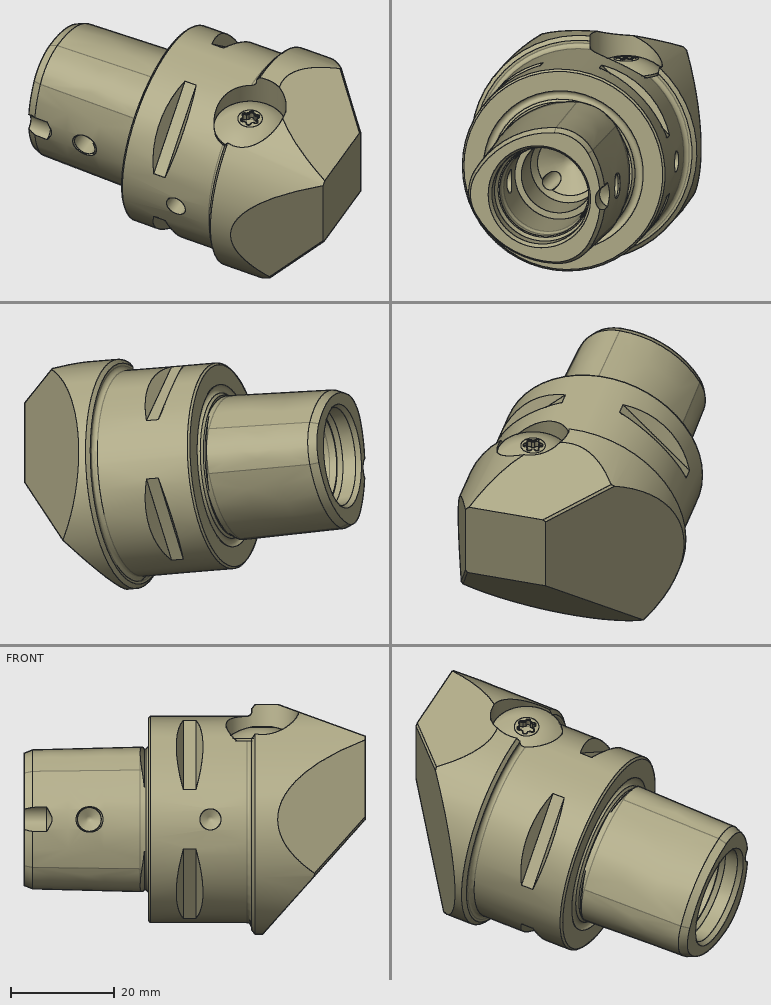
import cadquery as cq
import math

LENGTH = 66.0

LOBE_COUNT = 3
SHANK_RADIUS = 14.0
LOBE_HEIGHT = 0.8
TAPER = 1 / 40
SHANK_END = 22.45
NOSE_LENGTH = 1.65
NOSE_DROP = 0.65

NECK_RADIUS = 13.65
NECK_START = 23.2
NECK_CONE_START = 23.55
NECK_FOOT_RADIUS = 14.1
RELIEF_RADIUS = 15.8
RELIEF_DEPTH = 0.65

FLANGE_FACE = 24.0
FLANGE_RADIUS = 20.0
FLANGE_CHAMFER = 0.4
COVE_START = 43.1
COVE_RADIUS = 0.9
HEAD_STEP_RADIUS = 21.45
HEAD_START = 44.7
HEAD_RADIUS = 22.275

FLAT_ANGLE = 20.0
FLAT_HEIGHT = 16.1
STEEP_ANGLE = 48.2
EDGE_CHAMFER_DEPTH = 0.23
CUTTER_SIZE = 132.0

SLOT_COUNT = 4
SLOT_FIRST_ANGLE = 45.0
SLOT_X = 32.0
SLOT_FLOOR = 17.6
SLOT_FLOOR_WIDTH = 2.45
SLOT_WALL_ANGLE = 30.0

BORE_MOUTH = (0.0, 10.1)
BORE_COUNTERBORE = (1.0, 9.6)
BORE_CONE_START = (3.6, 9.6)
BORE_CONE_END = (4.6, 9.05)
BORE_STEP = (4.6, 8.8)
BORE_THROAT_START = (6.1, 8.8)
BORE_THROAT = (7.2, 8.45)
BORE_SHOULDER = (18.5, 8.45)
BORE_PILOT = (18.5, 7.2)
BORE_PILOT_END = (27.7, 7.2)
BORE_TIP = (29.7, 6.2)
TIP_HALF_ANGLE = 59.0

COOLANT_RADIUS = 1.5
COOLANT_OFFSET = 5.2
COOLANT_LEAD = 5.3
COOLANT_DEPTH = 7.9
COOLANT_DIRECTIONS = (135.0, -45.0)
COOLANT_ANGLE = 80.0

SHANK_HOLE_X = 12.6
SHANK_HOLE_RADIUS = 2.3
SHANK_HOLE_MOUTH = 2.65
SHANK_HOLE_DEPTH = 24.4
FLANGE_HOLE_X = 36.05
FLANGE_HOLE_RADIUS = 2.05
FLANGE_HOLE_DEPTH = 6.6
NOTCH_RADIUS = 2.6
NOTCH_Y = -13.6
NOTCH_DEPTH = 4.35

SCREW_X = 46.1
SCREW_Y = -8.05
SCREW_RADIUS = 7.0
SCREW_SEAT = 15.2
SCREW_RIM = 15.65
SCREW_TOP = 18.1
SOCKET_LOBES = 6
SOCKET_FIRST_ANGLE = 45.0
SOCKET_PITCH_RADIUS = 1.45
SOCKET_LOBE_RADIUS = 0.45
SOCKET_FLOOR = 16.2
SOCKET_TIP = 15.7
SOCKET_MOUTH_RADIUS = 2.4
SOCKET_MOUTH_DEPTH = 0.3


def polar(radius, degrees):
    """Components of a length at an angle."""
    angle = math.radians(degrees)
    return radius * math.cos(angle), radius * math.sin(angle)


def drill(radius, depth, start, direction):
    """Drill body with a conical tip, starting at a point and running along a direction."""
    tip = radius / math.tan(math.radians(TIP_HALF_ANGLE))
    profile = [(0, 0), (radius, 0), (radius, depth), (0, depth + tip)]
    body = cq.Workplane("XZ").polyline(profile).close().revolve(360, (0, 0), (0, 1))
    plane = cq.Plane(origin=start, normal=direction)
    return cq.Workplane(body.val().moved(cq.Location(plane)))


def lobed_wire(x, mean_radius):
    """Constant-width outline of tangent arcs; one lobe points to +Y."""
    centre = 2 * LOBE_HEIGHT / (2 - math.sqrt(3))
    lobe_radius = mean_radius + LOBE_HEIGHT - centre
    pitch = 360 / LOBE_COUNT

    def seam(lobe_angle, side):
        cy, cz = polar(centre, lobe_angle)
        dy, dz = polar(lobe_radius, lobe_angle + side * pitch / 4)
        return cy + dy, cz + dz

    outline = cq.Workplane("YZ", origin=(x, 0, 0)).moveTo(*seam(0, -1))
    for i in range(LOBE_COUNT):
        lobe = i * pitch
        tip = polar(mean_radius + LOBE_HEIGHT, lobe)
        flank = polar(mean_radius - LOBE_HEIGHT, lobe + pitch / 2)
        outline = outline.threePointArc(tip, seam(lobe, 1))
        outline = outline.threePointArc(flank, seam(lobe + pitch, -1))
    return outline.close().val()


def shank():
    """Tapered lobed shank with a chamfered nose."""
    nose_radius = SHANK_RADIUS - TAPER * (SHANK_END - NOSE_LENGTH)
    nose_end = lobed_wire(0, nose_radius - NOSE_DROP)
    small_end = lobed_wire(NOSE_LENGTH, nose_radius)
    large_end = lobed_wire(SHANK_END, SHANK_RADIUS)
    nose = cq.Workplane(cq.Solid.makeLoft([nose_end, small_end], True))
    return nose.union(cq.Workplane(cq.Solid.makeLoft([small_end, large_end], True)))


def lobed_neck():
    """The lobed outline runs on to the flange, trimmed by a cone to a round neck."""
    neck_end = FLANGE_FACE + RELIEF_DEPTH
    outline = lobed_wire(SHANK_END, SHANK_RADIUS)
    lobed = cq.Workplane(cq.Solid.extrudeLinear(outline, [], cq.Vector(neck_end - SHANK_END, 0, 0)))
    profile = [
        (SHANK_END, 0),
        (SHANK_END, SHANK_RADIUS + LOBE_HEIGHT),
        (NECK_START, NECK_RADIUS),
        (neck_end, NECK_RADIUS),
        (neck_end, 0),
    ]
    trimmer = cq.Workplane("XY").polyline(profile).close().revolve(360, (0, 0), (1, 0))
    return lobed.intersect(trimmer)


def flange_and_head():
    """Round body from the foot of the neck to the end face."""
    relief_middle = (FLANGE_FACE + RELIEF_DEPTH, (NECK_FOOT_RADIUS + RELIEF_RADIUS) / 2)
    cove_end = COVE_START + COVE_RADIUS
    cove_reach = COVE_RADIUS * math.sqrt(0.5)
    cove_middle = (COVE_START + cove_reach, FLANGE_RADIUS + COVE_RADIUS - cove_reach)
    profile = (
        cq.Workplane("XY")
        .moveTo(NECK_CONE_START, 0)
        .lineTo(NECK_CONE_START, NECK_RADIUS)
        .lineTo(FLANGE_FACE, NECK_FOOT_RADIUS)
        .threePointArc(relief_middle, (FLANGE_FACE, RELIEF_RADIUS))
        .lineTo(FLANGE_FACE, FLANGE_RADIUS - FLANGE_CHAMFER)
        .lineTo(FLANGE_FACE + FLANGE_CHAMFER, FLANGE_RADIUS)
        .lineTo(COVE_START, FLANGE_RADIUS)
        .threePointArc(cove_middle, (cove_end, FLANGE_RADIUS + COVE_RADIUS))
        .lineTo(cove_end, HEAD_STEP_RADIUS)
        .lineTo(HEAD_START, HEAD_RADIUS)
        .lineTo(LENGTH, HEAD_RADIUS)
        .lineTo(LENGTH, 0)
        .close()
    )
    return profile.revolve(360, (0, 0), (1, 0))


def head_cutter(point, normal):
    """Block that removes everything beyond a plane."""
    plane = cq.Plane(origin=point, normal=normal)
    return cq.Workplane(plane).rect(CUTTER_SIZE, CUTTER_SIZE).extrude(CUTTER_SIZE)


def head_cutters():
    """Two flats, two steep faces and the edge chamfers, all mirrored about the plane Y = -Z."""
    flat_x, flat_out = polar(1, 90 - FLAT_ANGLE)
    steep_x, steep_out = polar(1, 90 - STEEP_ANGLE)
    cutters = []
    for across, up in ((0, 1), (-1, 0)):
        flat_normal = cq.Vector(flat_x, flat_out * across, flat_out * up)
        steep_normal = cq.Vector(steep_x, steep_out * up, steep_out * across)
        corner = cq.Vector(LENGTH, FLAT_HEIGHT * across, FLAT_HEIGHT * up)
        edge_normal = (flat_normal + steep_normal).normalized()
        cutters.append(head_cutter(corner, flat_normal))
        cutters.append(head_cutter(corner, steep_normal))
        cutters.append(head_cutter(corner - edge_normal * EDGE_CHAMFER_DEPTH, edge_normal))
    return cutters


def gripper_slot(angle):
    """Straight slot with sloping walls, tangent to the flange at an angle about X."""
    top = HEAD_RADIUS
    half_floor = SLOT_FLOOR_WIDTH / 2
    half_top = half_floor + (top - SLOT_FLOOR) * math.tan(math.radians(SLOT_WALL_ANGLE))
    profile = [
        (SLOT_X - half_floor, SLOT_FLOOR),
        (SLOT_X + half_floor, SLOT_FLOOR),
        (SLOT_X + half_top, top),
        (SLOT_X - half_top, top),
    ]
    slot = cq.Workplane("XZ").polyline(profile).close().extrude(FLANGE_RADIUS, both=True)
    return slot.rotate((0, 0, 0), (1, 0, 0), angle)


def bore_tip_x(radius):
    """X of the conical end of the bore at a radius."""
    rim_x, rim_radius = BORE_TIP
    return rim_x + (rim_radius - radius) / math.tan(math.radians(TIP_HALF_ANGLE))


def bore():
    profile = [
        (0, 0),
        BORE_MOUTH,
        BORE_COUNTERBORE,
        BORE_CONE_START,
        BORE_CONE_END,
        BORE_STEP,
        BORE_THROAT_START,
        BORE_THROAT,
        BORE_SHOULDER,
        BORE_PILOT,
        BORE_PILOT_END,
        BORE_TIP,
        (bore_tip_x(0), 0),
    ]
    return cq.Workplane("XY").polyline(profile).close().revolve(360, (0, 0), (1, 0))


def coolant_channel(angle):
    """Channel sloping outward from the bore tip, at an angle about X."""
    along, outward = polar(1, COOLANT_ANGLE)
    direction = cq.Vector(along, *polar(outward, angle))
    opening = cq.Vector(bore_tip_x(COOLANT_OFFSET), *polar(COOLANT_OFFSET, angle))
    plane = cq.Plane(origin=opening - direction * COOLANT_LEAD, normal=direction)
    return cq.Workplane(plane).circle(COOLANT_RADIUS).extrude(COOLANT_LEAD + COOLANT_DEPTH)


def shank_hole():
    """Cross hole with a chamfered mouth on the -Y flank."""
    surface = SHANK_RADIUS - TAPER * (SHANK_END - SHANK_HOLE_X) - LOBE_HEIGHT
    start = (SHANK_HOLE_X, -SHANK_RADIUS, 0)
    hole = drill(SHANK_HOLE_RADIUS, SHANK_HOLE_DEPTH, start, (0, 1, 0))
    chamfer = SHANK_HOLE_MOUTH - SHANK_HOLE_RADIUS
    mouth_centre = cq.Vector(SHANK_HOLE_X, -surface, 0)
    mouth = cq.Solid.makeCone(
        SHANK_HOLE_MOUTH, SHANK_HOLE_RADIUS, chamfer, mouth_centre, cq.Vector(0, 1, 0)
    )
    return hole.union(cq.Workplane(mouth))


def flange_hole():
    start = (FLANGE_HOLE_X, -FLANGE_RADIUS, 0)
    return drill(FLANGE_HOLE_RADIUS, FLANGE_HOLE_DEPTH, start, (0, 1, 0))


def key_notch():
    return drill(NOTCH_RADIUS, NOTCH_DEPTH, (0, NOTCH_Y, 0), (1, 0, 0))


def screw_pocket():
    seat = cq.Workplane("XY", origin=(SCREW_X, SCREW_Y, SCREW_SEAT))
    return seat.circle(SCREW_RADIUS).extrude(HEAD_RADIUS)


def make_holder():
    holder = flange_and_head().union(lobed_neck()).union(shank())
    for cutter in head_cutters():
        holder = holder.cut(cutter)
    for i in range(SLOT_COUNT):
        holder = holder.cut(gripper_slot(SLOT_FIRST_ANGLE + i * 360 / SLOT_COUNT))
    holder = holder.cut(bore())
    for angle in COOLANT_DIRECTIONS:
        holder = holder.cut(coolant_channel(angle))
    holder = holder.cut(shank_hole())
    holder = holder.cut(flange_hole())
    holder = holder.cut(key_notch())
    return holder.cut(screw_pocket())


def screw_socket():
    """Six-lobed socket with a conical floor and a countersunk mouth."""
    depth = SCREW_TOP - SOCKET_FLOOR
    base = cq.Workplane("XY", origin=(0, 0, SOCKET_FLOOR))
    socket = base.circle(SOCKET_PITCH_RADIUS).extrude(depth)
    for i in range(SOCKET_LOBES):
        centre = polar(SOCKET_PITCH_RADIUS, SOCKET_FIRST_ANGLE + i * 360 / SOCKET_LOBES)
        socket = socket.union(base.center(*centre).circle(SOCKET_LOBE_RADIUS).extrude(depth))
    tip = cq.Solid.makeCone(0, SOCKET_PITCH_RADIUS, SOCKET_FLOOR - SOCKET_TIP, cq.Vector(0, 0, SOCKET_TIP))
    mouth = cq.Solid.makeCone(
        SOCKET_PITCH_RADIUS + SOCKET_LOBE_RADIUS,
        SOCKET_MOUTH_RADIUS,
        SOCKET_MOUTH_DEPTH,
        cq.Vector(0, 0, SCREW_TOP - 2 * SOCKET_MOUTH_DEPTH),
    )
    return socket.union(cq.Workplane(tip)).union(cq.Workplane(mouth))


def make_screw():
    """Disc with a spherical dome and the socket in its middle."""
    rise = SCREW_TOP - SCREW_RIM
    dome_radius = (SCREW_RADIUS**2 + rise**2) / (2 * rise)
    half_angle = math.degrees(math.asin(SCREW_RADIUS / dome_radius)) / 2
    dome_r, dome_z = polar(dome_radius, 90 - half_angle)
    dome_middle = (dome_r, SCREW_TOP - dome_radius + dome_z)
    profile = (
        cq.Workplane("XZ")
        .moveTo(0, SCREW_SEAT)
        .lineTo(SCREW_RADIUS, SCREW_SEAT)
        .lineTo(SCREW_RADIUS, SCREW_RIM)
        .threePointArc(dome_middle, (0, SCREW_TOP))
        .close()
    )
    screw = profile.revolve(360, (0, 0), (0, 1)).cut(screw_socket())
    return screw.translate((SCREW_X, SCREW_Y, 0))


holder = make_holder()
screw = make_screw()
result = cq.Compound.makeCompound([holder.val(), screw.val()])